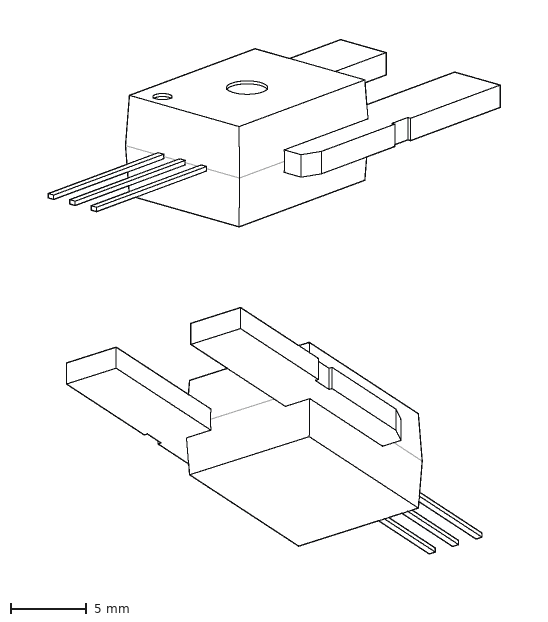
import cadquery as cq

body_width = 10.0
body_length = 12.98
body_height = 7.0
draft_angle = 3.0

plate_width = 14.02
plate_thickness = 1.57
plate_length = 19.32
arm_gap = 6.0
arm_reach = 10.9
corner_inset = 0.55
corner_length = 1.4
notch_depth = 0.25
notch_length = 1.57
notch_from_tip = 9.0

overall_length = 34.88
lead_width = 0.5
lead_thickness = 0.3
lead_pitch = 1.9
lead_count = 3

center_mark_diameter = 2.72
pin_mark_diameter = 1.25
pin_mark_x = -3.0
pin_mark_y = -5.05
mark_depth = 0.2

body_back = body_length / 2
arm_tip = body_back + arm_reach
plate_front = arm_tip - plate_length
lead_tip = arm_tip - overall_length


def make_body():
    half = (
        cq.Workplane("XY")
        .rect(body_width, body_length)
        .extrude(body_height / 2, taper=draft_angle)
    )
    return half.union(half.mirror("XY"))


def make_arm():
    """Right-hand arm; its inner edge runs alongside the central gap."""
    inner = arm_gap / 2
    outer = plate_width / 2
    notch_back = arm_tip - notch_from_tip
    notch_front = notch_back - notch_length
    return (
        cq.Workplane("XY")
        .workplane(offset=-plate_thickness / 2)
        .polyline([
            (inner, arm_tip),
            (outer, arm_tip),
            (outer, notch_back),
            (outer - notch_depth, notch_back),
            (outer - notch_depth, notch_front),
            (outer, notch_front),
            (outer, plate_front + corner_length),
            (outer - corner_inset, plate_front),
            (inner, plate_front),
        ])
        .close()
        .extrude(plate_thickness)
    )


def make_leads():
    return (
        cq.Workplane("XY")
        .rarray(lead_pitch, 0.35, lead_count, 1)
        .box(lead_width, -lead_tip, lead_thickness)
        .translate((0, lead_tip / 2, 0))
    )


def make_mark(diameter, x, y):
    return (
        cq.Workplane("XY")
        .workplane(offset=body_height / 2 - mark_depth)
        .center(x, y)
        .circle(diameter / 2)
        .extrude(mark_depth)
    )


arm = make_arm()
result = make_body().union(arm).union(arm.mirror("YZ")).union(make_leads())
result = result.cut(make_mark(center_mark_diameter, 0, 0))
result = result.cut(make_mark(pin_mark_diameter, pin_mark_x, pin_mark_y))